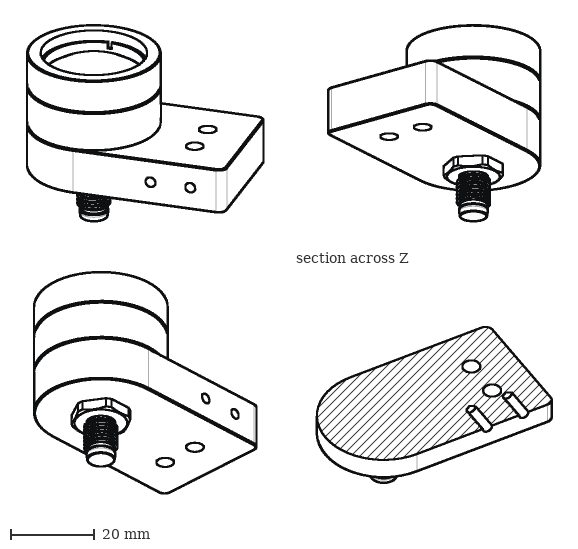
import cadquery as cq
import math


length = 54
body_diameter = 32.0
body_radius = body_diameter / 2
base_height = 11.45
middle_height = 10.05
head_height = 8.5
edge_chamfer = 0.25
corner_radius = 2.0

mouth_diameter = 25.45
mouth_depth = 2.75
retainer_bore_diameter = 24.2
lens_diameter = 24.0
lens_edge_depth = 5.55
lens_rise = 4.0
notch_width = 1.0
notch_depth = 1.5

mount_hole_diameter = 4.2
hole_spacing = 10.0
mount_hole_x = 27
side_hole_diameter = 2.5
side_hole_depth = 8.0
side_hole_middle_x = 24.45
drill_point_angle = 118

nut_across_flats = 12.95
nut_corner_diameter = 14.2
nut_height = 2.75
nut_face_diameter = 12.65
nut_chamfer_angle = 30
nut_turn_angle = 30
neck_diameter = 6.5
flare_diameter = 6.9
root_diameter = 6.8
flare_end_z = -3.3
root_top_z = -3.7
root_bottom_z = -10.0
collar_start_z = -10.9
collar_top_z = -11.25
collar_bottom_z = -11.75
connector_bottom_z = -13.0
tip_diameter = 6.6
tip_chamfer = 0.15

thread_diameter = 8.0
thread_flank_angle = 30
thread_overlap = 0.1
thread_turns = 6.3
thread_height = 6.3
thread_pitch = thread_height / thread_turns
thread_start_z = -10.05
thread_start_angle = 45

middle_top_z = base_height + middle_height
body_top_z = middle_top_z + head_height


def make_base():
    straight_length = length - body_radius
    round_end = cq.Workplane("XY").circle(body_radius).extrude(base_height)
    block = (
        cq.Workplane("XY")
        .rect(straight_length, body_diameter)
        .extrude(base_height)
        .translate((straight_length / 2, 0, 0))
        .edges("|Z and >X")
        .fillet(corner_radius)
    )
    base = round_end.union(block).clean()
    return base.faces("<Z or >Z").chamfer(edge_chamfer)


def make_disc(bottom_z, height):
    disc = cq.Workplane("XY").workplane(offset=bottom_z).circle(body_radius).extrude(height)
    return disc.faces("<Z or >Z").chamfer(edge_chamfer)


def make_bore(diameter, bottom_z):
    bore = cq.Workplane("XY").workplane(offset=bottom_z)
    return bore.circle(diameter / 2).extrude(body_top_z - bottom_z)


def make_lens():
    lens_radius = lens_diameter / 2
    edge_z = body_top_z - lens_edge_depth
    apex_z = edge_z + lens_rise
    sphere_radius = (lens_radius**2 + lens_rise**2) / (2 * lens_rise)
    half_angle = math.asin(lens_radius / sphere_radius) / 2
    middle_of_arc = (
        sphere_radius * math.sin(half_angle),
        apex_z - sphere_radius * (1 - math.cos(half_angle)),
    )
    return (
        cq.Workplane("XZ")
        .moveTo(0, middle_top_z)
        .lineTo(lens_radius, middle_top_z)
        .lineTo(lens_radius, edge_z)
        .threePointArc(middle_of_arc, (0, apex_z))
        .close()
        .revolve(360, (0, 0), (0, 1))
    )


def make_notches():
    """A bar across the opening that notches the retainer ledge on both sides."""
    ledge_z = body_top_z - mouth_depth
    bar = cq.Workplane("XY").workplane(offset=ledge_z - notch_depth)
    bar = bar.rect(notch_width, mouth_diameter).extrude(notch_depth)
    return bar.intersect(make_bore(mouth_diameter, ledge_z - notch_depth))


def make_mount_holes():
    return (
        cq.Workplane("XY")
        .pushPoints([(mount_hole_x, side * hole_spacing / 2) for side in (-1, 1)])
        .circle(mount_hole_diameter / 2)
        .extrude(base_height)
    )


def make_side_hole(x):
    """A blind hole with a drill point, running in +Y from the -Y side."""
    radius = side_hole_diameter / 2
    point_length = radius / math.tan(math.radians(drill_point_angle / 2))
    return (
        cq.Workplane("XY")
        .polyline([
            (0, 0),
            (radius, 0),
            (radius, side_hole_depth),
            (0, side_hole_depth + point_length),
        ])
        .close()
        .revolve(360, (0, 0), (0, 1))
        .translate((x, -body_radius, base_height / 2))
    )


def make_nut():
    """A hexagon with flats facing +Y and -Y, its corners turned round and chamfered below."""
    turned_radius = nut_corner_diameter / 2
    face_radius = nut_face_diameter / 2
    chamfer_height = (turned_radius - face_radius) * math.tan(math.radians(nut_chamfer_angle))
    hexagon = (
        cq.Workplane("XY")
        .polygon(6, nut_across_flats, circumscribed=True)
        .extrude(-nut_height)
        .rotate((0, 0, 0), (0, 0, 1), nut_turn_angle)
    )
    turned_blank = (
        cq.Workplane("XZ")
        .polyline([
            (0, 0),
            (turned_radius, 0),
            (turned_radius, chamfer_height - nut_height),
            (face_radius, -nut_height),
            (0, -nut_height),
        ])
        .close()
        .revolve(360, (0, 0), (0, 1))
    )
    return hexagon.intersect(turned_blank)


def make_stem():
    neck_radius = neck_diameter / 2
    flare_radius = flare_diameter / 2
    tip_radius = tip_diameter / 2
    return (
        cq.Workplane("XZ")
        .polyline([
            (0, 0),
            (flare_radius, 0),
            (flare_radius, -nut_height),
            (neck_radius, flare_end_z),
            (neck_radius, collar_start_z),
            (flare_radius, collar_top_z),
            (flare_radius, collar_bottom_z),
            (tip_radius, connector_bottom_z + tip_chamfer),
            (tip_radius - tip_chamfer, connector_bottom_z),
            (0, connector_bottom_z),
        ])
        .close()
        .revolve(360, (0, 0), (0, 1))
    )


def make_threaded_section():
    """A core with a sharp right-hand ridge sunk slightly into it, both cut off level at the ends."""
    crest_radius = thread_diameter / 2
    root_radius = root_diameter / 2
    inner_radius = root_radius - thread_overlap
    half_foot = (crest_radius - inner_radius) * math.tan(math.radians(thread_flank_angle))
    helix = cq.Wire.makeHelix(thread_pitch, thread_height, inner_radius)
    ridge = (
        cq.Workplane("XZ")
        .polyline([
            (inner_radius, -half_foot),
            (crest_radius, 0),
            (inner_radius, half_foot),
        ])
        .close()
        .sweep(cq.Workplane(obj=helix), isFrenet=True)
        .rotate((0, 0, 0), (0, 0, 1), thread_start_angle)
        .translate((0, 0, thread_start_z))
    )
    core = cq.Workplane("XY").circle(root_radius).extrude(connector_bottom_z)
    threaded_zone = (
        cq.Workplane("XY")
        .workplane(offset=root_bottom_z)
        .circle(thread_diameter)
        .extrude(root_top_z - root_bottom_z)
    )
    return core.union(ridge).intersect(threaded_zone)


housing = (
    make_base()
    .union(make_disc(base_height, middle_height))
    .union(make_disc(middle_top_z, head_height))
    .cut(make_bore(mouth_diameter, body_top_z - mouth_depth))
    .cut(make_bore(retainer_bore_diameter, body_top_z - lens_edge_depth))
    .cut(make_notches())
    .union(make_lens())
    .cut(make_mount_holes())
)

for side in (-1, 1):
    housing = housing.cut(make_side_hole(side_hole_middle_x + side * hole_spacing / 2))

connector = make_stem().union(make_threaded_section()).union(make_nut())

result = housing.union(connector)